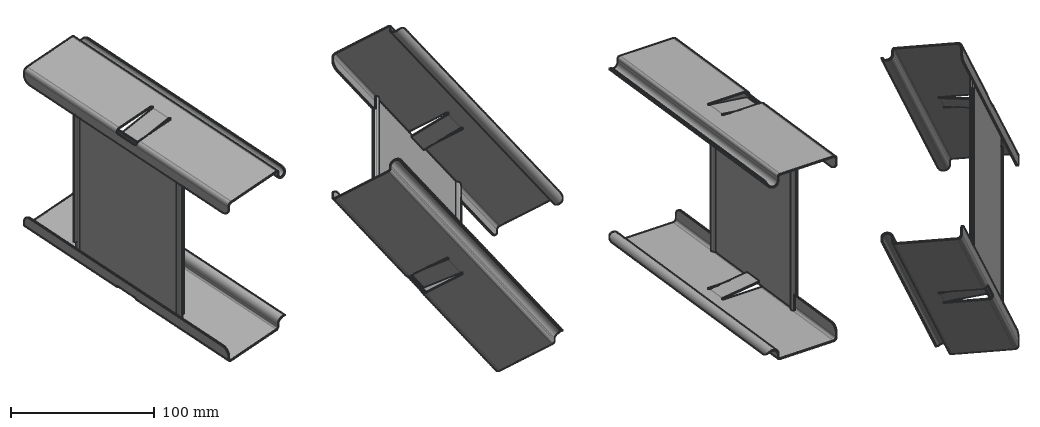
import math

import cadquery as cq

rail_length = 200.0
frame_height = 148.5
rail_depth = 58.2
sheet = 1.0
half_height = frame_height / 2

flange_height = 12.0
front_bend_radius = 3.2
rear_bend_radius = 2.2
hook_radius = 4.7
hook_center_drop = 4.7
corner_radius = 6.0

tongue_width = 15.4
slot_width = 2.0
tongue_root_y = 34.2
tongue_slope = 6.9
notch_corner_radius = 1.5
opening_width = tongue_width + 2 * slot_width

web_front_y = 2.0
web_gap = 1.0
web_width = 107.6
web_end_width = 103.6
lip_inset = 15.0
groove_center_x = 49.8
groove_half_width = 2.7
groove_floor_half_width = 1.3
groove_angle = math.radians(40)
web_height = frame_height - 2 * (sheet + web_gap)
lip_height = frame_height - 2 * lip_inset

mid_bend = math.sqrt(0.5)


def box(x_size, y_from, y_to, z_from, z_to):
    """Block centred on X between the given Y and Z limits."""
    size = (x_size, y_to - y_from, z_to - z_from)
    return cq.Workplane("XY").box(*size, centered=(True, False, False)).translate((0, y_from, z_from))


def rail_sheet():
    """Top rail: flange, plate and hook, drawn in YZ, extruded along X and rounded at the ends."""
    top = half_height
    front_inner = front_bend_radius - sheet
    rear_inner = rear_bend_radius - sheet
    hook_inner = hook_radius - sheet
    hook_y = rail_depth - hook_radius
    hook_z = top - hook_center_drop
    wall_y = hook_y - hook_inner
    front_z = top - front_bend_radius
    rear_y = wall_y - rear_bend_radius
    rear_z = top - rear_bend_radius
    section = (
        cq.Workplane("YZ")
        .moveTo(0, top - flange_height)
        .lineTo(0, front_z)
        .threePointArc(
            (front_bend_radius * (1 - mid_bend), front_z + front_bend_radius * mid_bend),
            (front_bend_radius, top),
        )
        .lineTo(rear_y, top)
        .threePointArc(
            (rear_y + rear_bend_radius * mid_bend, rear_z + rear_bend_radius * mid_bend),
            (wall_y, rear_z),
        )
        .lineTo(wall_y, hook_z)
        .threePointArc((hook_y, hook_z - hook_inner), (hook_y + hook_inner, hook_z))
        .lineTo(rail_depth, hook_z)
        .threePointArc((hook_y, hook_z - hook_radius), (hook_y - hook_radius, hook_z))
        .lineTo(wall_y - sheet, rear_z)
        .threePointArc(
            (rear_y + rear_inner * mid_bend, rear_z + rear_inner * mid_bend),
            (rear_y, top - sheet),
        )
        .lineTo(front_bend_radius, top - sheet)
        .threePointArc(
            (front_bend_radius - front_inner * mid_bend, front_z + front_inner * mid_bend),
            (sheet, front_z),
        )
        .lineTo(sheet, top - flange_height)
        .close()
    )
    rail = section.extrude(rail_length / 2, both=True)

    rail = rail.edges("|Y and <Z").fillet(corner_radius)
    hook_block = box(rail_length, hook_y, rail_depth, hook_z - 2 * hook_radius, hook_z)
    hook_corners = hook_block.cut(hook_block.edges("|Y and >Z").fillet(corner_radius))
    return rail.cut(hook_corners)


def tongue_opening():
    """Cutter for the two round-ended slots, the tongue between them and the notch in the front bend."""
    notch_floor = half_height - front_bend_radius
    opening = box(opening_width, -sheet, tongue_root_y, notch_floor, half_height + sheet)
    opening = opening.edges("|Y and <Z").fillet(notch_corner_radius)
    slot_offset = (tongue_width + slot_width) / 2
    slot_ends = (
        cq.Workplane("XY", origin=(0, 0, notch_floor))
        .pushPoints([(-slot_offset, tongue_root_y), (slot_offset, tongue_root_y)])
        .circle(slot_width / 2)
        .extrude(front_bend_radius + sheet)
    )
    return opening.union(slot_ends)


def tongue():
    """Tongue sloping down from the plate until it meets the back of the web."""
    tip_y = web_front_y + sheet
    drop = (tongue_root_y - tip_y) * math.tan(math.radians(tongue_slope))
    return (
        cq.Workplane("YZ")
        .moveTo(tongue_root_y, half_height)
        .lineTo(tip_y, half_height - drop)
        .lineTo(tip_y, half_height - drop - sheet)
        .lineTo(tongue_root_y, half_height - sheet)
        .close()
        .extrude(tongue_width / 2, both=True)
    )


def groove_points(side, offset):
    """Outer foot, outer floor edge, floor bottom, inner floor edge and inner foot of one groove.

    An offset of zero gives the front face and an offset of one sheet the back face.
    """
    front_radius = groove_floor_half_width / math.sin(groove_angle)
    side_run = groove_half_width - groove_floor_half_width
    center_y = web_front_y + side_run * math.tan(groove_angle) - front_radius * math.cos(groove_angle)
    radius = front_radius + offset
    foot = groove_half_width + offset * math.tan(groove_angle / 2)
    floor = radius * math.sin(groove_angle)
    floor_y = center_y + radius * math.cos(groove_angle)
    foot_y = web_front_y + offset
    center_x = side * groove_center_x
    return [
        (center_x + side * foot, foot_y),
        (center_x + side * floor, floor_y),
        (center_x, center_y + radius),
        (center_x - side * floor, floor_y),
        (center_x - side * foot, foot_y),
    ]


def web():
    """Grooved sheet extruded along Z, with the lips cut back at the top and bottom."""
    half_width = web_width / 2
    left_front = groove_points(-1, 0)
    right_front = groove_points(1, 0)[::-1]
    right_back = groove_points(1, sheet)
    left_back = groove_points(-1, sheet)[::-1]

    outline = cq.Workplane("XY", origin=(0, 0, -web_height / 2)).moveTo(-half_width, web_front_y)
    for start, floor_start, bottom, floor_end, end in (left_front, right_front):
        outline = outline.lineTo(*start).lineTo(*floor_start).threePointArc(bottom, floor_end).lineTo(*end)
    outline = outline.lineTo(half_width, web_front_y).lineTo(half_width, web_front_y + sheet)
    for start, floor_start, bottom, floor_end, end in (right_back, left_back):
        outline = outline.lineTo(*start).lineTo(*floor_start).threePointArc(bottom, floor_end).lineTo(*end)
    grooved_sheet = outline.lineTo(-half_width, web_front_y + sheet).close().extrude(web_height)

    full_strip = box(web_end_width, 0, rail_depth, -half_height, half_height)
    lip_strip = box(web_width, 0, rail_depth, -lip_height / 2, lip_height / 2)
    return grooved_sheet.intersect(full_strip.union(lip_strip))


top_rail = rail_sheet().cut(tongue_opening()).union(tongue())
bottom_rail = top_rail.mirror("XY")

result = web().union(top_rail).union(bottom_rail)